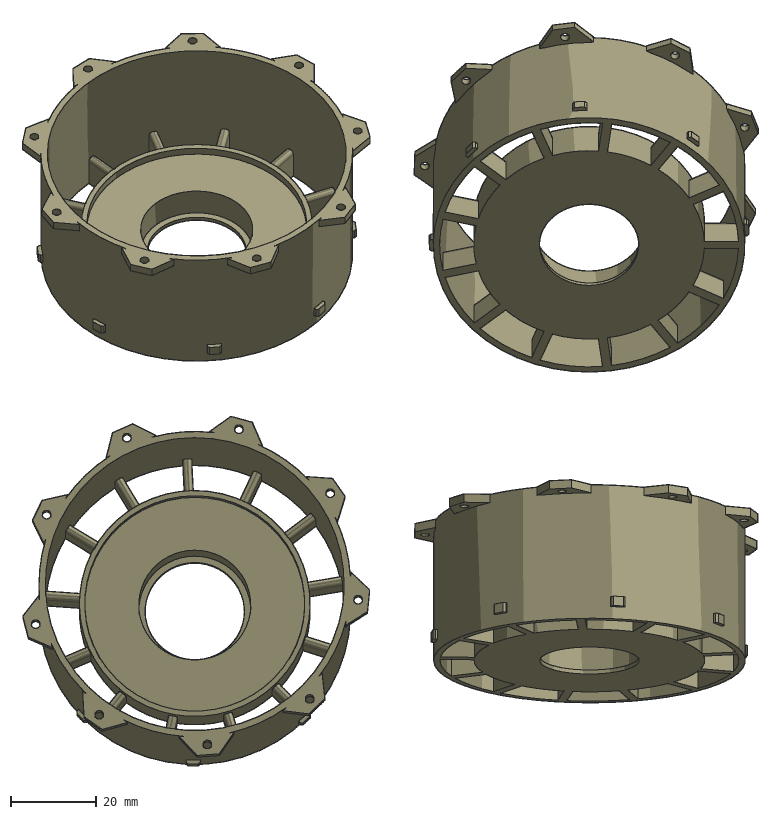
import cadquery as cq

height = 32.5
shell_outer_diameter = 73.0
shell_inner_diameter = 70.0

hub_diameter = 54.0
rim_inner_diameter = 51.5
rim_height = 9.85
floor_height = 8.0
bore_diameter = 26.2
bore_ledge_height = 1.0
through_hole_diameter = 23.2

spoke_count = 13
spoke_width = 2.1
spoke_height = floor_height
spoke_edge_radius = 1.0

lug_count = 9
lug_thickness = 2.0
lug_outer_distance = 40.9
lug_outer_width = 5.2
lug_base_distance = 36.1
lug_base_width = 12.9
lug_hole_distance = 38.45
lug_hole_diameter = 2.0

peg_count = 8
peg_width = 3.3
peg_bottom = 2.9
peg_height = 2.3
peg_projection = 1.0
peg_chamfer = 0.5

y_axis_angle = 90

overlap = 0.65


def disc(diameter, bottom, top):
    """Solid cylinder about Z between two heights."""
    return cq.Workplane("XY").workplane(offset=bottom).circle(diameter / 2).extrude(top - bottom)


def around_axis(feature, count, start_angle=0):
    """Copies of a feature drawn along +X, spread evenly about Z."""
    copies = cq.Workplane("XY")
    for index in range(count):
        angle = start_angle + index * 360 / count
        copies = copies.add(feature.rotate((0, 0, 0), (0, 0, 1), angle))
    return copies.combine()


def make_shell():
    return disc(shell_outer_diameter, 0, height).cut(disc(shell_inner_diameter, 0, height))


def make_hub():
    hub = disc(hub_diameter, 0, rim_height)
    hub = hub.cut(disc(rim_inner_diameter, floor_height, rim_height))
    hub = hub.cut(disc(bore_diameter, bore_ledge_height, floor_height))
    return hub.cut(disc(through_hole_diameter, 0, bore_ledge_height))


def make_spoke():
    """Upright web along +X with a rounded top."""
    start = hub_diameter / 2 - overlap
    end = shell_inner_diameter / 2 + overlap
    spoke = cq.Workplane("XY").box(end - start, spoke_width, spoke_height, centered=(False, True, False))
    return spoke.edges("|X and >Z").fillet(spoke_edge_radius).translate((start, 0, 0))


def make_lug():
    """Tapered ear along +X, flush with the top of the shell, with a screw hole."""
    lug = (
        cq.Workplane("XY")
        .workplane(offset=height - lug_thickness)
        .moveTo(lug_base_distance, -lug_base_width / 2)
        .lineTo(lug_outer_distance, -lug_outer_width / 2)
        .lineTo(lug_outer_distance, lug_outer_width / 2)
        .lineTo(lug_base_distance, lug_base_width / 2)
        .close()
        .extrude(lug_thickness)
    )
    screw_hole = disc(lug_hole_diameter, height - lug_thickness, height)
    return lug.cut(screw_hole.translate((lug_hole_distance, 0, 0)))


def make_peg():
    """Small block along +X whose outer upright edges are chamfered."""
    start = shell_outer_diameter / 2 - overlap
    length = overlap + peg_projection
    peg = cq.Workplane("XY").box(length, peg_width, peg_height, centered=(False, True, False))
    return peg.edges("|Z and >X").chamfer(peg_chamfer).translate((start, 0, peg_bottom))


result = (
    make_shell()
    .union(around_axis(make_spoke(), spoke_count, y_axis_angle))
    .union(make_hub())
    .union(around_axis(make_lug(), lug_count, y_axis_angle))
    .union(around_axis(make_peg(), peg_count))
)